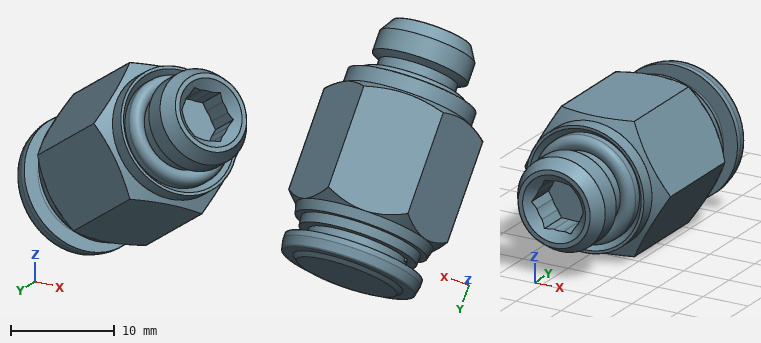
import cadquery as cq
import math

length = 25.3

hex_flats = 14.0
flat_radius = hex_flats / 2
hex_corners = hex_flats / math.cos(math.pi / 6)
hex_front = 7.55
hex_rear = 20.0
front_chamfer_angle = 30.0

collar_radius = 6.53
collar_front = 5.97
groove_mouth_radius = 6.22
groove_floor_radius = 5.6

neck_radius = 4.0
tip_radius = 4.85
tip_chamfer_length = 1.42
tip_shoulder = 3.55
tip_rear = 4.02

seal_tube_radius = (groove_floor_radius - neck_radius) / 2
seal_centre_radius = neck_radius + seal_tube_radius
groove_depth = 0.78
groove_floor = collar_front + groove_depth
seal_centre_y = 6.02

socket_flats = 4.98
socket_corners = socket_flats / math.cos(math.pi / 6)
socket_depth = 3.95
socket_bore_radius = 2.55
socket_mouth_radius = 3.5
socket_mouth_depth = 1.0

body_ring_end = 21.05
body_ring_end_radius = 6.7
inner_ring_end = 22.04
inner_ring_start_radius = 6.1
inner_ring_end_radius = 5.97

stem_radius = 5.0
cap_front = 23.25
cap_fillet = 0.43
cap_taper_start = 23.83
cap_shoulder = 24.9
cap_shoulder_radius = 6.78
cap_edge_round = 0.15
crown_base_radius = 5.62
crown_top_radius = 5.1

key_length = 0.23
key_height = 0.99
key_centre_z = 0.95
key_outer_x = -5.05
key_inner_x = -4.55


def revolve_about_y(profile):
    return profile.close().revolve(360, (0, 0, 0), (0, 1, 0))


def prism_along_y(corner_diameter, start, end):
    plane = cq.Workplane("XZ", origin=(0, start, 0))
    return plane.polygon(6, corner_diameter).extrude(start - end)


def hexagon_body():
    corner_radius = hex_corners / 2
    front_slope = math.tan(math.radians(front_chamfer_angle))
    front_rise = (corner_radius - collar_radius) * front_slope
    rear_rise = corner_radius - flat_radius
    envelope = revolve_about_y(
        cq.Workplane("XY")
        .moveTo(0, hex_front)
        .lineTo(collar_radius, hex_front)
        .lineTo(corner_radius, hex_front + front_rise)
        .lineTo(corner_radius, hex_rear - rear_rise)
        .lineTo(flat_radius, hex_rear)
        .lineTo(0, hex_rear)
    )
    return prism_along_y(hex_corners, hex_front, hex_rear).intersect(envelope)


def front_end():
    return revolve_about_y(
        cq.Workplane("XY")
        .lineTo(neck_radius, 0)
        .lineTo(tip_radius, tip_chamfer_length)
        .lineTo(tip_radius, tip_shoulder)
        .lineTo(neck_radius, tip_rear)
        .lineTo(neck_radius, groove_floor)
        .lineTo(groove_floor_radius, groove_floor)
        .lineTo(groove_mouth_radius, collar_front)
        .lineTo(collar_radius, collar_front)
        .lineTo(collar_radius, hex_front)
        .lineTo(0, hex_front)
    )


def seal_ring():
    return revolve_about_y(
        cq.Workplane("XY")
        .moveTo(0, groove_floor)
        .lineTo(0, seal_centre_y)
        .lineTo(neck_radius, seal_centre_y)
        .threePointArc(
            (seal_centre_radius, seal_centre_y - seal_tube_radius),
            (groove_floor_radius, seal_centre_y),
        )
        .lineTo(groove_floor_radius, groove_floor)
    )


def rear_end():
    edge_search = 0.03
    bend = cap_fillet * (1 - math.sqrt(0.5))
    body = revolve_about_y(
        cq.Workplane("XY")
        .moveTo(0, hex_rear)
        .lineTo(flat_radius, hex_rear)
        .lineTo(body_ring_end_radius, body_ring_end)
        .lineTo(inner_ring_start_radius, body_ring_end)
        .lineTo(inner_ring_end_radius, inner_ring_end)
        .lineTo(stem_radius, inner_ring_end)
        .lineTo(stem_radius, cap_front - cap_fillet)
        .threePointArc(
            (stem_radius + bend, cap_front - bend),
            (stem_radius + cap_fillet, cap_front),
        )
        .lineTo(flat_radius, cap_front)
        .lineTo(flat_radius, cap_taper_start)
        .lineTo(cap_shoulder_radius, cap_shoulder)
        .lineTo(crown_base_radius, cap_shoulder)
        .lineTo(crown_top_radius, length)
        .lineTo(0, length)
    )
    shoulder_edge = cq.selectors.BoxSelector(
        (-length, cap_shoulder - edge_search, -length),
        (length, cap_shoulder + edge_search, length),
        boundingbox=True,
    )
    outer_edge = cq.selectors.RadiusNthSelector(-1)
    return body.edges(shoulder_edge).edges(outer_edge).fillet(cap_edge_round)


def stem_key():
    key = cq.Workplane("XY").box(
        key_inner_x - key_outer_x, key_length, key_height, centered=(False, False, True)
    )
    return key.translate((key_outer_x, inner_ring_end, key_centre_z))


def socket():
    cone = revolve_about_y(
        cq.Workplane("XY")
        .lineTo(socket_mouth_radius, 0)
        .lineTo(socket_flats / 2, socket_mouth_depth)
        .lineTo(0, socket_mouth_depth)
    )
    bore = cq.Workplane("XZ").circle(socket_bore_radius).extrude(-socket_depth)
    return prism_along_y(socket_corners, 0, socket_depth).union(bore).union(cone)


result = (
    hexagon_body()
    .union(front_end())
    .union(rear_end())
    .union(stem_key())
    .union(seal_ring())
    .cut(socket())
)